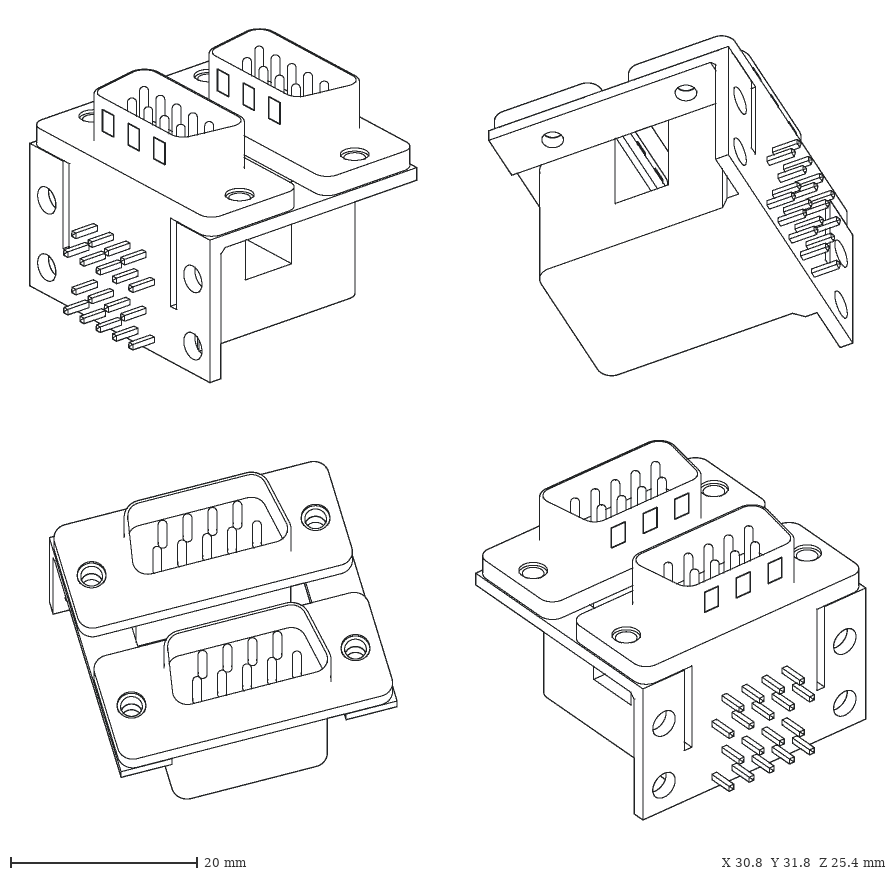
import cadquery as cq
import math


total_width = 30.8
total_height = 25.4
total_depth = 31.78
pin_tail_length = 3.2
body_depth = total_depth - pin_tail_length

bracket_top = 17.0
bracket_thickness = 1.53
arm_bottom = bracket_top - bracket_thickness
bracket_corner = 0.6
bracket_inner_x = 9.7
bracket_hole_x = 12.5
bracket_hole_diameter = 3.08
bracket_hole_heights = (3.27, 11.28)

flange_gap = 0.1
flange_bottom = bracket_top + flange_gap
flange_top = 19.4
flange_width = 30.57
flange_depth = 12.6
flange_corner_radius = 1.65
counterbore_diameter = 3.08
counterbore_depth = 0.38
screw_hole_diameter = 2.32

housing_half_width = 8.65
housing_depth = 26.38
housing_corner_radius = 1.7
notch_start = 10.4
notch_end = 16.75
notch_floor = 6.58
web_outer_depth = 2.9

port_pitch = 15.9
front_port_y = 6.45
port_positions = (front_port_y, front_port_y + port_pitch)
flange_starts = (0, body_depth - flange_depth)

shell_depth = 9.15
shell_corner_radius = 2.0
shell_half_width = 8.95
shell_slant = 10.0
shell_wall = 0.38
shell_rim_radius = 0.25
shell_root_radius = 0.25

dimple_width = 1.9
dimple_bottom = 21.65
dimple_height = 2.57
dimple_recess = 0.1
dimple_pitch = 4.4
dimple_count = 3

long_row = 5
short_row = 4
contact_row_span = 11.12
contact_pitch = contact_row_span / (long_row - 1)
contact_row_offset = 1.4
contact_diameter = 0.95
contact_dome_radius = 0.45
contact_top = 25.0
contact_embed = 0.32
tail_width = 0.67
tail_chamfer = 0.25
tail_rows = ((1.55, long_row), (4.48, short_row), (8.42, long_row), (11.2, short_row))


def box(x_min, x_max, y_min, y_max, z_min, z_max):
    """Axis-aligned block between the given limits."""
    size = (x_max - x_min, y_max - y_min, z_max - z_min)
    return cq.Workplane("XY").box(*size, centered=False).translate((x_min, y_min, z_min))


def row_positions(count, pitch):
    """Evenly spaced positions centred on zero."""
    return [(i - (count - 1) / 2) * pitch for i in range(count)]


def both_sides(right_side):
    """A right-hand feature together with its mirror image."""
    return right_side.union(right_side.mirror("YZ"))


def make_housing():
    """Central block with rounded rear corners and a notch between the ports."""
    half_width = housing_half_width
    block = box(-half_width, half_width, 0, housing_depth, 0, flange_bottom)
    block = block.edges("|Z and >Y").fillet(housing_corner_radius)
    notch = box(-half_width, half_width, notch_start, notch_end, notch_floor, flange_bottom)
    return block.cut(notch)


def make_right_bracket():
    """L-shaped plate with two holes in its vertical leg."""
    profile = [
        (0, 0),
        (bracket_thickness, 0),
        (bracket_thickness, arm_bottom - bracket_corner),
        (bracket_thickness + bracket_corner, arm_bottom),
        (body_depth, arm_bottom),
        (body_depth, bracket_top),
        (0, bracket_top),
    ]
    plate_width = total_width / 2 - bracket_inner_x
    inner_plane = cq.Workplane("YZ", origin=(bracket_inner_x, 0, 0))
    plate = inner_plane.polyline(profile).close().extrude(plate_width)
    hole_centers = [(bracket_hole_x, z) for z in bracket_hole_heights]
    holes = (
        cq.Workplane("XZ")
        .pushPoints(hole_centers)
        .circle(bracket_hole_diameter / 2)
        .extrude(-bracket_thickness)
    )
    return plate.cut(holes)


def make_right_web():
    """Low web joining housing and bracket, with a 45 degree rear face."""
    slot_width = bracket_inner_x - housing_half_width
    outline = [
        (housing_half_width, 0),
        (bracket_inner_x, 0),
        (bracket_inner_x, web_outer_depth),
        (housing_half_width, web_outer_depth + slot_width),
    ]
    return cq.Workplane("XY").polyline(outline).close().extrude(notch_floor)


def make_flange(y_start):
    """Rounded plate carrying one shell."""
    half_width = flange_width / 2
    y_end = y_start + flange_depth
    plate = box(-half_width, half_width, y_start, y_end, flange_bottom, flange_top)
    return plate.edges("|Z").fillet(flange_corner_radius)


def make_d_prism(inset, z_min, z_max):
    """D-shaped prism, wider towards +Y, its walls moved inwards by the inset."""
    slant = math.radians(shell_slant)
    half_depth = shell_depth / 2 - inset
    radius = shell_corner_radius - inset
    wide_center_x = shell_half_width - shell_corner_radius
    center_y = shell_depth / 2 - shell_corner_radius
    narrow_center_x = wide_center_x - 2 * center_y * math.tan(slant)
    wide_x = wide_center_x + radius * (1 + math.sin(slant)) / math.cos(slant)
    narrow_x = narrow_center_x + radius * (1 - math.sin(slant)) / math.cos(slant)
    outline = [
        (-narrow_x, -half_depth),
        (narrow_x, -half_depth),
        (wide_x, half_depth),
        (-wide_x, half_depth),
    ]
    prism = cq.Workplane("XY", origin=(0, 0, z_min)).polyline(outline).close().extrude(z_max - z_min)
    return prism.edges("|Z").fillet(radius)


def add_shell(flange, y_center):
    """Flange with the hollow, rim-rounded shell blended onto it."""
    outside = make_d_prism(0, flange_top, total_height).faces(">Z").edges().fillet(shell_rim_radius)
    blended = flange.union(outside.translate((0, y_center, 0)))
    reach_x = shell_half_width + shell_root_radius
    reach_y = shell_depth / 2 + shell_root_radius
    root_box = cq.selectors.BoxSelector(
        (-reach_x, y_center - reach_y, flange_top - shell_root_radius / 2),
        (reach_x, y_center + reach_y, flange_top + shell_root_radius / 2),
    )
    blended = blended.faces("|Z").edges(root_box).fillet(shell_root_radius)
    cavity = make_d_prism(shell_wall, flange_top, total_height)
    return blended.cut(cavity.translate((0, y_center, 0)))


def make_dimples(y_center):
    """Three shallow rectangular pockets in the front wall of a shell."""
    front = y_center - shell_depth / 2
    dimples = cq.Workplane("XY")
    for x in row_positions(dimple_count, dimple_pitch):
        dimples = dimples.union(
            box(
                x - dimple_width / 2,
                x + dimple_width / 2,
                front,
                front + dimple_recess,
                dimple_bottom,
                dimple_bottom + dimple_height,
            )
        )
    return dimples


def make_screw_holes(y_center):
    """Counterbored holes through flange and brackets on both sides of a shell."""
    centers = [(-bracket_hole_x, y_center), (bracket_hole_x, y_center)]
    through = (
        cq.Workplane("XY", origin=(0, 0, arm_bottom))
        .pushPoints(centers)
        .circle(screw_hole_diameter / 2)
        .extrude(flange_top - arm_bottom)
    )
    counterbore = (
        cq.Workplane("XY", origin=(0, 0, flange_top - counterbore_depth))
        .pushPoints(centers)
        .circle(counterbore_diameter / 2)
        .extrude(counterbore_depth)
    )
    return through.union(counterbore)


def make_contacts(y_center):
    """Dome-ended round contacts: five towards +Y, four towards -Y."""
    root = flange_top - contact_embed
    contact = cq.Workplane("XY").circle(contact_diameter / 2).extrude(contact_top - root)
    contact = contact.faces(">Z").edges().fillet(contact_dome_radius)
    contacts = cq.Workplane("XY")
    for count, offset in ((long_row, contact_row_offset), (short_row, -contact_row_offset)):
        for x in row_positions(count, contact_pitch):
            contacts = contacts.union(contact.translate((x, y_center + offset, root)))
    return contacts


def make_tails():
    """Square solder tails with pointed ends on the mounting face."""
    tail = box(-tail_width / 2, tail_width / 2, -pin_tail_length, 0, -tail_width / 2, tail_width / 2)
    tail = tail.faces("<Y").edges().chamfer(tail_chamfer)
    tails = cq.Workplane("XY")
    for z, count in tail_rows:
        for x in row_positions(count, contact_pitch):
            tails = tails.union(tail.translate((x, 0, z)))
    return tails


result = make_housing()
result = result.union(both_sides(make_right_bracket()))
result = result.union(both_sides(make_right_web()))
for port_y, flange_y in zip(port_positions, flange_starts):
    result = result.union(add_shell(make_flange(flange_y), port_y))
    result = result.cut(make_dimples(port_y))
    result = result.cut(make_screw_holes(port_y))
    result = result.union(make_contacts(port_y))
result = result.union(make_tails())